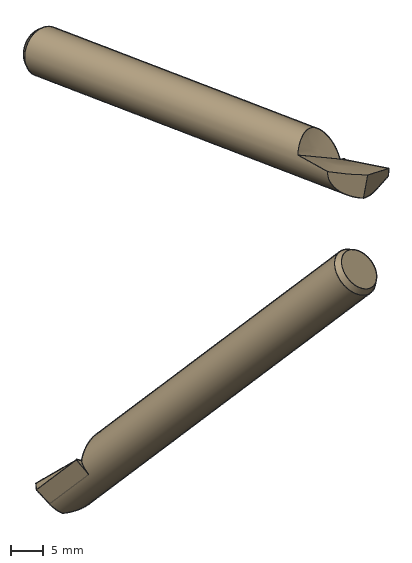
import math

import cadquery as cq

length = 76.2
radius = 3.965
rear_chamfer_length = 1.0
rear_chamfer_angle = 30.0

tooth_reach = 4.735
tooth_start_x = 65.8
tooth_underside_angle = 37.0

end_relief_angle = 7.0
nose_flat_start_y = 0.4
nose_facet_angle = 45.0

wall_top_x = 62.95
wall_top_x_slope = -0.25
root_x = 65.25
root_x_slope = 0.14
root_z = -0.07
root_z_slope = -0.28
tip_z = -0.18
tip_z_slope = 0.02

margin = 2.0


def make_shank():
    chamfer_depth = rear_chamfer_length * math.tan(math.radians(rear_chamfer_angle))
    half_profile = [
        (0, 0),
        (0, radius - chamfer_depth),
        (rear_chamfer_length, radius),
        (length, radius),
        (length, 0),
    ]
    return cq.Workplane("XZ").polyline(half_profile).close().revolve(360, (0, 0, 0), (1, 0, 0))


def make_tooth():
    """Block whose sloping underside runs tangent into the round bar."""
    angle = math.radians(tooth_underside_angle)
    tangent_point = (radius * math.sin(angle), -radius * math.cos(angle))
    lower_corner_z = (tooth_reach * math.sin(angle) - radius) / math.cos(angle)
    section = [
        (0, 0),
        tangent_point,
        (tooth_reach, lower_corner_z),
        (tooth_reach, radius),
        (0, radius),
    ]
    tooth = cq.Workplane("YZ", origin=(tooth_start_x, 0, 0)).polyline(section).close()
    return tooth.extrude(length - tooth_start_x)


def relief_section(y):
    """Outline of the rake relief at one Y position, in the XZ plane."""
    wall_x = wall_top_x + wall_top_x_slope * y
    floor_rear_x = root_x + root_x_slope * y
    floor_rear_z = root_z + root_z_slope * y
    floor_front_z = tip_z + tip_z_slope * y
    open_x = length + margin
    open_z = radius + margin
    outline = [
        (wall_x, open_z),
        (wall_x, radius),
        (floor_rear_x, floor_rear_z),
        (length, floor_front_z),
        (open_x, floor_front_z),
        (open_x, open_z),
    ]
    return cq.Wire.makePolygon([cq.Vector(x, y, z) for x, z in outline], close=True)


def make_rake_relief():
    sections = [relief_section(y) for y in (-radius - margin, tooth_reach + margin)]
    return cq.Workplane(cq.Solid.makeLoft(sections, True))


def make_end_relief():
    """Wedge that leans the front end face back below the cutting edge."""
    depth = radius + margin
    setback = depth * math.tan(math.radians(end_relief_angle))
    cutting_edge_z = tip_z + tip_z_slope * tooth_reach
    wedge = cq.Workplane("XZ", origin=(0, tooth_reach + margin, 0))
    outline = [
        (length, cutting_edge_z),
        (length + margin, cutting_edge_z),
        (length + margin, cutting_edge_z - depth),
        (length - setback, cutting_edge_z - depth),
    ]
    return wedge.polyline(outline).close().extrude(radius + tooth_reach + 2 * margin)


def make_nose_facet_cut():
    """Corner cut off the front end on the side away from the tooth."""
    run = radius + margin + nose_flat_start_y
    setback = run / math.tan(math.radians(nose_facet_angle))
    outline = [
        (length, nose_flat_start_y),
        (length - setback, nose_flat_start_y - run),
        (length + margin, nose_flat_start_y - run),
        (length + margin, nose_flat_start_y),
    ]
    return cq.Workplane("XY").polyline(outline).close().extrude(2 * (radius + margin), both=True)


result = make_shank().union(make_tooth())
result = result.cut(make_rake_relief())
result = result.cut(make_end_relief()).cut(make_nose_facet_cut())